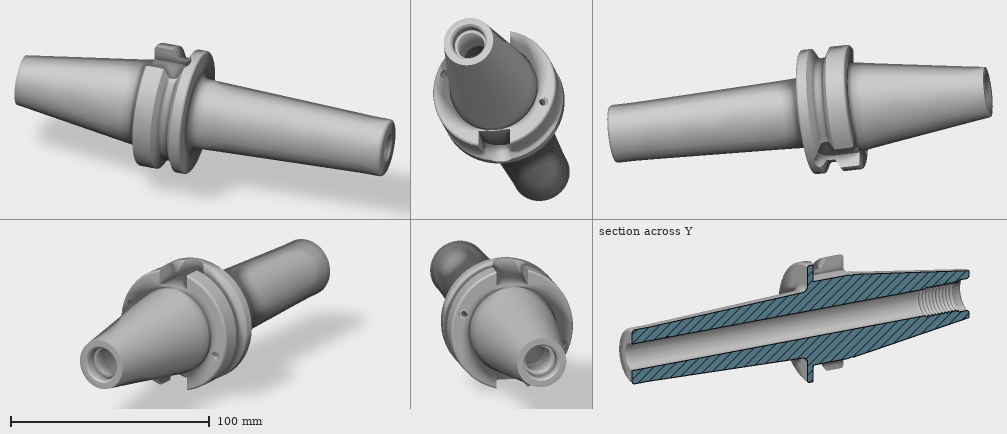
import cadquery as cq
import math

length = 192.4
flange_front = 67.3
taper_ratio = 7 / 24
taper_small_radius = 12.7
taper_end = 65.6

relief_ramp = 0.8
relief_floor_radius = 22.1
relief_end = 68.3
relief_rim_radius = 22.7

flange_diameter = 63.0
flange_radius = flange_diameter / 2
flange_width = 25.0
flange_back = flange_front + flange_width
flange_edge_round = 1.2
groove_center = 82.0
groove_floor_radius = 26.4
groove_floor_width = 4.0
groove_half_angle = 30.0
groove_floor_round = 0.5

nose_radius = 14.6
nose_start = 182.2
neck_radius = 17.7
neck_start = 95.0
neck_root_round = 2.9
nose_edge_round = 1.7

slot_width = 16.2
slot_end = 88.9
slot_floor = 22.5

bore_diameter = 14.0
bore_radius = bore_diameter / 2
entry_radius = 8.5
entry_depth = 6.0
entry_chamfer = 1.0
thread_pitch = 2.0
thread_depth = 1.0
thread_turns = 10

hole_radius = 2.3
hole_entry_depth = 0.5
hole_minor_radius = 1.7
hole_pitch = 0.8
hole_thread_depth = 0.4
hole_thread_turns = 10
hole_depth = 15.4
hole_circle_radius = 26.7
hole_angle = 20.0
hole_slant = 25.0


def taper_radius(x):
    """Radius of the shank taper at x; the taper ratio is on diameter."""
    return taper_small_radius + x * taper_ratio / 2


def revolve_about_x(outline):
    return cq.Workplane("XZ").polyline(outline).close().revolve(360, (0, 0, 0), (1, 0, 0))


def round_edge(body, x, radius, size):
    """Fillet the circular edge of the given radius that lies at x along the axis."""
    tolerance = 0.002
    circles = [
        edge
        for edge in body.edges("%CIRCLE").vals()
        if abs(edge.Center().x - x) < tolerance and abs(edge.radius() - radius) < tolerance
    ]
    return body.newObject(circles).fillet(size)


def make_body():
    groove_rise = flange_radius - groove_floor_radius
    floor_half = groove_floor_width / 2
    mouth_half = floor_half + groove_rise * math.tan(math.radians(groove_half_angle))
    neck_slope = (neck_radius - nose_radius) / (nose_start - neck_start)
    neck_root_radius = neck_radius + neck_slope * (neck_start - flange_back)
    outline = [
        (0, 0),
        (0, taper_small_radius),
        (taper_end, taper_radius(taper_end)),
        (taper_end + relief_ramp, relief_floor_radius),
        (relief_end, relief_floor_radius),
        (relief_end, relief_rim_radius),
        (flange_front, relief_rim_radius),
        (flange_front, flange_radius),
        (groove_center - mouth_half, flange_radius),
        (groove_center - floor_half, groove_floor_radius),
        (groove_center + floor_half, groove_floor_radius),
        (groove_center + mouth_half, flange_radius),
        (flange_back, flange_radius),
        (flange_back, neck_root_radius),
        (nose_start, nose_radius),
        (length, nose_radius),
        (length, 0),
    ]
    body = revolve_about_x(outline)
    rounds = [
        (flange_front, flange_radius, flange_edge_round),
        (flange_back, flange_radius, flange_edge_round),
        (groove_center - floor_half, groove_floor_radius, groove_floor_round),
        (groove_center + floor_half, groove_floor_radius, groove_floor_round),
        (flange_back, neck_root_radius, neck_root_round),
        (length, nose_radius, nose_edge_round),
    ]
    for x, radius, size in rounds:
        body = round_edge(body, x, radius, size)
    return body


def make_slot():
    """Slot open at the flange front, with a flat floor and a half-round end."""
    radius = slot_width / 2
    straight_end = slot_end - radius
    height = flange_radius - slot_floor
    return (
        cq.Workplane("XY", origin=(0, 0, slot_floor))
        .moveTo(flange_front, -radius)
        .lineTo(straight_end, -radius)
        .threePointArc((slot_end, 0), (straight_end, radius))
        .lineTo(flange_front, radius)
        .close()
        .extrude(height)
    )


def thread_points(start, minor_radius, pitch, depth, turns):
    """Profile points of a thread modelled as a row of V-shaped rings along +X."""
    points = [(start, minor_radius)]
    for turn in range(turns):
        ring_start = start + turn * pitch
        points.append((ring_start + pitch / 2, minor_radius + depth))
        points.append((ring_start + pitch, minor_radius))
    return points


def make_bore():
    return revolve_about_x([
        (0, 0),
        (0, entry_radius + entry_chamfer),
        (entry_chamfer, entry_radius),
        (entry_depth, entry_radius),
        *thread_points(entry_depth, bore_radius, thread_pitch, thread_depth, thread_turns),
        (length, bore_radius),
        (length, 0),
    ])


def make_hole():
    hole = revolve_about_x([
        (-hole_radius, 0),
        (-hole_radius, hole_radius),
        (hole_entry_depth, hole_radius),
        *thread_points(hole_entry_depth, hole_minor_radius, hole_pitch, hole_thread_depth, hole_thread_turns),
        (hole_depth, hole_minor_radius),
        (hole_depth, 0),
    ])
    slanted = hole.rotate((0, 0, 0), (0, 0, 1), -hole_slant)
    placed = slanted.translate((flange_front, hole_circle_radius, 0))
    return placed.rotate((0, 0, 0), (1, 0, 0), hole_angle)


result = make_body().cut(make_bore())
for turn in (0, 180):
    result = result.cut(make_slot().rotate((0, 0, 0), (1, 0, 0), turn))
    result = result.cut(make_hole().rotate((0, 0, 0), (1, 0, 0), turn))